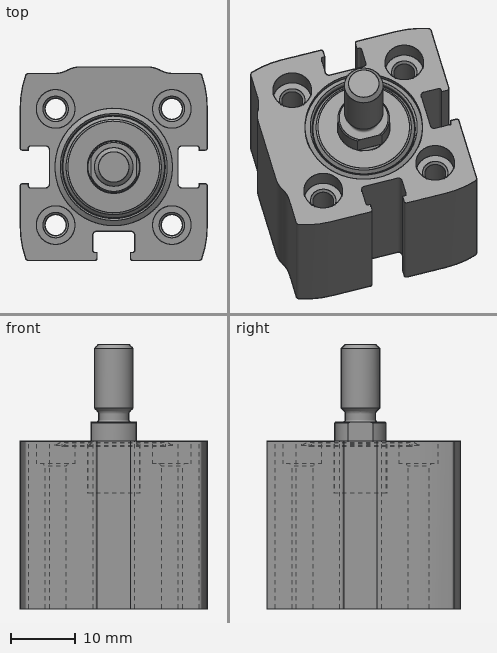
import cadquery as cq
import math

HOUSING_HEIGHT = 26.0
HALF_WIDTH = 29.0 / 2
SIDE_FLAT_HALF = 9.22
SIDE_ARC_RADIUS = 15.0
CORNER_FILLET = 0.5
CROWN_Y = 30.0 - HALF_WIDTH
CROWN_HALF = 5.15
CROWN_FOOT_HALF = 9.2

SIDE_ARC_RISE = HALF_WIDTH - SIDE_FLAT_HALF
SIDE_ARC_INSET = SIDE_ARC_RADIUS - math.sqrt(SIDE_ARC_RADIUS**2 - SIDE_ARC_RISE**2)
CORNER_X = HALF_WIDTH - SIDE_ARC_INSET

SLOT_DEPTH = 4.5
SLOT_HALF = 3.25
MOUTH_HALF = 2.6
LIP_THICKNESS = 1.27
POCKET_BACK_FILLET = 0.57
POCKET_FRONT_FILLET = 0.33
MOUTH_FILLET = 0.35

BOLT_SPACING = 18.0
BOLT_OFFSET = BOLT_SPACING / 2
BOLT_BORE = 3.25
BOLT_CHAMFER_DIAMETER = 3.95
COUNTERBORE = 6.0
COUNTERBORE_DEPTH = 3.5

RECESS_RADIUS = 18.2 / 2
RECESS_DEPTH = 0.7
RING_RADIUS = 8.3
RING_DEPTH = 0.15
BORE_RADIUS = 16 / 2
LIP_ROUND = RING_RADIUS - BORE_RADIUS
COVER_CONE_FOOT_RADIUS = 7.87
COVER_CONE_TOP_RADIUS = 7.4
COVER_FACE_RADIUS = 7.1
COVER_DEPTH = 0.15
COVER_CONE_TOP_DEPTH = 0.3
COVER_CONE_FOOT_DEPTH = 0.8

ROD_RADIUS = 8.0 / 2
ROD_HOLE_RADIUS = 4.1
ROD_INSERTION = 8.0
SHOULDER_HEIGHT = 3.0
SHOULDER_CHAMFER = 0.2
FLATS_HALF = 3.5
FLATS_DEPTH = 0.4
RUN_OUT = 0.3
NECK_RADIUS = 4.7 / 2
NECK_FOOT_FILLET = 0.3
NECK_TOP_FILLET = 0.5
THREAD_RADIUS = 6.0 / 2
THREAD_BOTTOM = 5.12
TOTAL_HEIGHT = 41.0
EDGE_SEARCH = 0.05


def housing_profile():
    """Outline of the housing: its right half, mirrored about the YZ plane."""
    crown_mid = ((CROWN_HALF + CROWN_FOOT_HALF) / 2, (CROWN_Y + HALF_WIDTH) / 2)
    return (
        cq.Workplane("XY")
        .moveTo(0, -HALF_WIDTH)
        .lineTo(CORNER_X, -HALF_WIDTH)
        .radiusArc((HALF_WIDTH, -SIDE_FLAT_HALF), -SIDE_ARC_RADIUS)
        .lineTo(HALF_WIDTH, SIDE_FLAT_HALF)
        .radiusArc((CORNER_X, HALF_WIDTH), -SIDE_ARC_RADIUS)
        .lineTo(CROWN_FOOT_HALF, HALF_WIDTH)
        .tangentArcPoint(crown_mid, relative=False)
        .tangentArcPoint((CROWN_HALF, CROWN_Y), relative=False)
        .lineTo(0, CROWN_Y)
        .mirrorY()
    )


def slot_cutter(angle):
    """Slot opening to -Y, turned about Z by the given angle."""
    back = -HALF_WIDTH + SLOT_DEPTH
    lip = -HALF_WIDTH + LIP_THICKNESS
    pocket = (
        cq.Workplane("XY")
        .moveTo(-SLOT_HALF, lip)
        .lineTo(SLOT_HALF, lip)
        .lineTo(SLOT_HALF, back)
        .lineTo(-SLOT_HALF, back)
        .close()
        .extrude(HOUSING_HEIGHT)
        .edges("|Z and >Y")
        .fillet(POCKET_BACK_FILLET)
        .edges("|Z and <Y")
        .fillet(POCKET_FRONT_FILLET)
    )
    mouth = (
        cq.Workplane("XY")
        .moveTo(-MOUTH_HALF, lip)
        .lineTo(-MOUTH_HALF, -HALF_WIDTH + MOUTH_FILLET)
        .radiusArc((-MOUTH_HALF - MOUTH_FILLET, -HALF_WIDTH), MOUTH_FILLET)
        .lineTo(MOUTH_HALF + MOUTH_FILLET, -HALF_WIDTH)
        .radiusArc((MOUTH_HALF, -HALF_WIDTH + MOUTH_FILLET), MOUTH_FILLET)
        .lineTo(MOUTH_HALF, lip)
        .close()
        .extrude(HOUSING_HEIGHT)
    )
    return pocket.union(mouth).rotate((0, 0, 0), (0, 0, 1), angle)


def bolt_hole_cutter():
    """Through bore, its chamfer and the counterbore above, on the Z axis."""
    floor = HOUSING_HEIGHT - COUNTERBORE_DEPTH
    bore = BOLT_BORE / 2
    chamfer = BOLT_CHAMFER_DIAMETER / 2
    return (
        cq.Workplane("XZ")
        .polyline(
            [
                (0, 0),
                (bore, 0),
                (bore, floor - (chamfer - bore)),
                (chamfer, floor),
                (COUNTERBORE / 2, floor),
                (COUNTERBORE / 2, HOUSING_HEIGHT),
                (0, HOUSING_HEIGHT),
            ]
        )
        .close()
        .revolve(360, (0, 0), (0, 1))
    )


def end_face_cutter():
    """Everything removed above the ring, groove and cover at the rod end."""
    top = HOUSING_HEIGHT
    return (
        cq.Workplane("XZ")
        .moveTo(0, top)
        .lineTo(RECESS_RADIUS, top)
        .lineTo(RECESS_RADIUS, top - RECESS_DEPTH)
        .lineTo(RING_RADIUS, top - RING_DEPTH)
        .radiusArc((BORE_RADIUS, top - RING_DEPTH - LIP_ROUND), -LIP_ROUND)
        .lineTo(BORE_RADIUS, top - COVER_CONE_FOOT_DEPTH)
        .lineTo(COVER_CONE_FOOT_RADIUS, top - COVER_CONE_FOOT_DEPTH)
        .lineTo(COVER_CONE_TOP_RADIUS, top - COVER_CONE_TOP_DEPTH)
        .lineTo(COVER_FACE_RADIUS, top - COVER_DEPTH)
        .lineTo(0, top - COVER_DEPTH)
        .close()
        .revolve(360, (0, 0), (0, 1))
    )


def make_housing():
    """Slotted housing with its bolt holes, end face and blind rod hole."""
    body = housing_profile().extrude(HOUSING_HEIGHT)
    for x in (-CORNER_X, CORNER_X):
        for y in (-HALF_WIDTH, HALF_WIDTH):
            corner = cq.selectors.NearestToPointSelector((x, y, HOUSING_HEIGHT / 2))
            body = body.edges(corner).fillet(CORNER_FILLET)
    for angle in (-90, 0, 90):
        body = body.cut(slot_cutter(angle))
    for x in (-BOLT_OFFSET, BOLT_OFFSET):
        for y in (-BOLT_OFFSET, BOLT_OFFSET):
            body = body.cut(bolt_hole_cutter().translate((x, y, 0)))
    body = body.cut(end_face_cutter())
    rod_hole = (
        cq.Workplane("XY", origin=(0, 0, HOUSING_HEIGHT - ROD_INSERTION))
        .circle(ROD_HOLE_RADIUS)
        .extrude(ROD_INSERTION)
    )
    return body.cut(rod_hole)


def flat_cutter():
    """Wedge-ended block that leaves the flat on the +X side of the rod."""
    top = HOUSING_HEIGHT + SHOULDER_HEIGHT
    run_out_top = HOUSING_HEIGHT - FLATS_DEPTH
    return (
        cq.Workplane("XZ")
        .polyline(
            [
                (FLATS_HALF, top),
                (FLATS_HALF, run_out_top),
                (ROD_RADIUS, run_out_top - RUN_OUT),
                (ROD_RADIUS, top),
            ]
        )
        .close()
        .extrude(ROD_RADIUS, both=True)
    )


def fillet_neck_end(rod, height, radius):
    """Round the smallest circular edge of the rod at the given height."""
    zone = cq.selectors.BoxSelector(
        (-ROD_RADIUS, -ROD_RADIUS, height - EDGE_SEARCH),
        (ROD_RADIUS, ROD_RADIUS, height + EDGE_SEARCH),
    )
    smallest = cq.selectors.RadiusNthSelector(0)
    return rod.edges("%CIRCLE").edges(zone).edges(smallest).fillet(radius)


def make_rod():
    """Piston rod with wrench flats, a necked end and a plain thread cylinder."""
    shoulder = HOUSING_HEIGHT + SHOULDER_HEIGHT
    thread_bottom = HOUSING_HEIGHT + THREAD_BOTTOM
    thread_chamfer = THREAD_RADIUS - NECK_RADIUS
    neck_top = thread_bottom - thread_chamfer
    rod = (
        cq.Workplane("XZ")
        .polyline(
            [
                (0, HOUSING_HEIGHT - ROD_INSERTION),
                (ROD_RADIUS, HOUSING_HEIGHT - ROD_INSERTION),
                (ROD_RADIUS, shoulder - SHOULDER_CHAMFER),
                (ROD_RADIUS - SHOULDER_CHAMFER, shoulder),
                (NECK_RADIUS, shoulder),
                (NECK_RADIUS, neck_top),
                (THREAD_RADIUS, thread_bottom),
                (THREAD_RADIUS, TOTAL_HEIGHT - thread_chamfer),
                (NECK_RADIUS, TOTAL_HEIGHT),
                (0, TOTAL_HEIGHT),
            ]
        )
        .close()
        .revolve(360, (0, 0), (0, 1))
    )
    rod = fillet_neck_end(rod, shoulder, NECK_FOOT_FILLET)
    rod = fillet_neck_end(rod, neck_top, NECK_TOP_FILLET)
    flat = flat_cutter()
    return rod.cut(flat).cut(flat.mirror("YZ"))


housing = make_housing()
rod = make_rod()

result = cq.Compound.makeCompound([housing.val(), rod.val()])